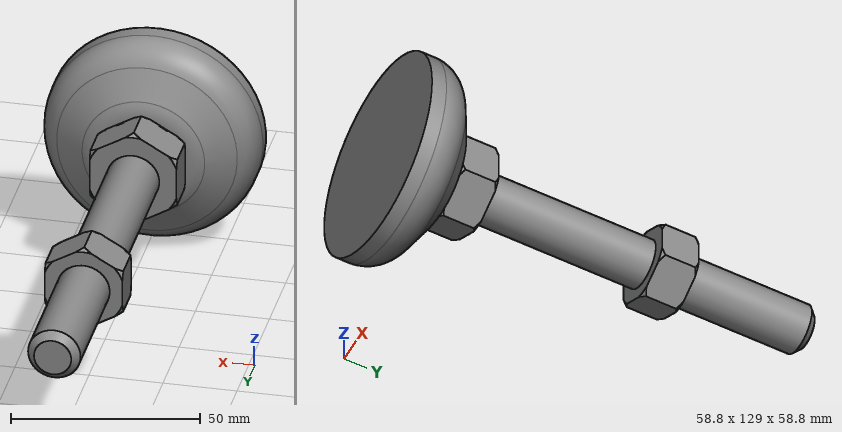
import cadquery as cq
import math

total_length = 129.0

pad_radius = 29.4
rim_height = 4.3
blend_radius = 10.0
slope_angle = math.radians(30)
pad_height = 18.8

rod_radius = 7.1
tip_chamfer = 2.0

nut_height = 11.1
nut_chamfer = 1.0
foot_nut_across_flats = 23.5
lock_nut_across_flats = 21.0
lock_nut_start = 79.9


def make_pad():
    """Revolve the domed pad: rim, convex shoulder, straight slope, convex top edge."""
    sin_slope = math.sin(slope_angle)
    cos_slope = math.cos(slope_angle)
    sin_half = math.sin(slope_angle / 2)
    cos_half = math.cos(slope_angle / 2)

    shoulder_center = pad_radius - blend_radius
    shoulder_end = (shoulder_center + blend_radius * sin_slope, rim_height + blend_radius * cos_slope)
    shoulder_turn = (math.pi / 2 - slope_angle) / 2
    shoulder_middle = (
        shoulder_center + blend_radius * math.cos(shoulder_turn),
        rim_height + blend_radius * math.sin(shoulder_turn),
    )

    top_center_height = pad_height - blend_radius
    slope_end_height = top_center_height + blend_radius * cos_slope
    slope_end_radius = shoulder_end[0] - (slope_end_height - shoulder_end[1]) / math.tan(slope_angle)
    top_radius = slope_end_radius - blend_radius * sin_slope
    top_middle = (top_radius + blend_radius * sin_half, top_center_height + blend_radius * cos_half)

    return (
        cq.Workplane("XY")
        .lineTo(pad_radius, 0)
        .lineTo(pad_radius, rim_height)
        .threePointArc(shoulder_middle, shoulder_end)
        .lineTo(slope_end_radius, slope_end_height)
        .threePointArc(top_middle, (top_radius, pad_height))
        .lineTo(0, pad_height)
        .close()
        .revolve(360, (0, 0), (0, 1))
    )


def make_rod():
    """Rod from the sole to the chamfered free end."""
    rod = cq.Workplane("XZ").circle(rod_radius).extrude(-total_length)
    return rod.faces(">Y").chamfer(tip_chamfer)


def make_nut(across_flats, start):
    """Hexagon with corners on +Z and -Z, its corners turned off at both ends."""
    corner_radius = across_flats / math.sqrt(3)
    end_radius = corner_radius - nut_chamfer
    end = start + nut_height
    hexagon = (
        cq.Workplane("XZ", origin=(0, start, 0))
        .transformed(rotate=(0, 0, 90))
        .polygon(6, 2 * corner_radius)
        .extrude(-nut_height)
    )
    turned_blank = (
        cq.Workplane("XY")
        .moveTo(0, start)
        .lineTo(end_radius, start)
        .lineTo(corner_radius, start + nut_chamfer)
        .lineTo(corner_radius, end - nut_chamfer)
        .lineTo(end_radius, end)
        .lineTo(0, end)
        .close()
        .revolve(360, (0, start), (0, end))
    )
    return hexagon.intersect(turned_blank)


foot_nut = make_nut(foot_nut_across_flats, pad_height)
lock_nut = make_nut(lock_nut_across_flats, lock_nut_start)
result = make_pad().union(make_rod()).union(foot_nut).union(lock_nut)